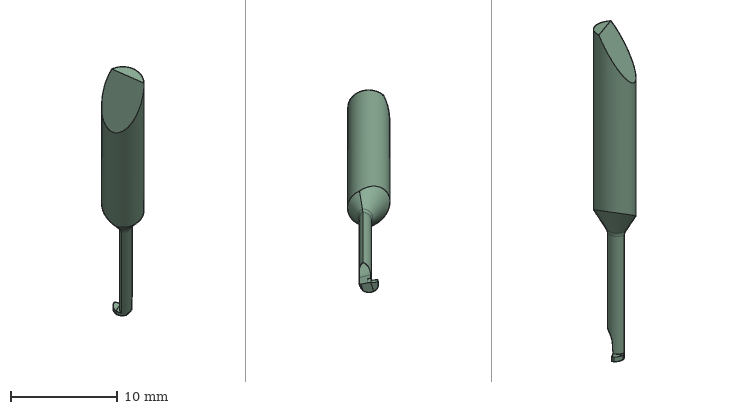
import cadquery as cq
import math

length = 34.0
shank_radius = 2.0
neck_radius = 0.92
neck_shift = 0.68
split_x = neck_shift - neck_radius

taper_angle = math.radians(30)
neck_top = 12.68
blend_radius = 0.85

clamp_angle = math.radians(30)
clamp_edge_y = 1.0

head_height = 0.5
flank_x = -0.9
bottom_tilt = math.radians(3)
corner_width = 0.2
corner_height = 0.25

flat_y = 0.17
flat_top = 1.45
runout_radius = 1.9
rake_angle = math.radians(10)
rake_top = 0.8

margin = 1.35


def turned_blank(axis_x, max_radius):
    """Neck, blend and taper revolved about a vertical axis at the given X."""
    blend_end_r = neck_radius + blend_radius * (1 - math.cos(taper_angle))
    blend_end_z = neck_top + blend_radius * math.sin(taper_angle)
    blend_mid_r = neck_radius + blend_radius * (1 - math.cos(taper_angle / 2))
    blend_mid_z = neck_top + blend_radius * math.sin(taper_angle / 2)
    taper_top = blend_end_z + (max_radius - blend_end_r) / math.tan(taper_angle)
    return (
        cq.Workplane("XZ")
        .lineTo(neck_radius, 0)
        .lineTo(neck_radius, neck_top)
        .threePointArc((blend_mid_r, blend_mid_z), (blend_end_r, blend_end_z))
        .lineTo(max_radius, taper_top)
        .lineTo(max_radius, length)
        .lineTo(0, length)
        .close()
        .revolve(360, (0, 0), (0, 1))
        .translate((axis_x, 0, 0))
    )


def clamp_cut():
    """Wedge that leaves the slanted clamping face on the -Y side."""
    outer_y = -shank_radius - margin
    drop = (clamp_edge_y - outer_y) / math.tan(clamp_angle)
    return (
        cq.Workplane("YZ")
        .moveTo(clamp_edge_y, length)
        .lineTo(outer_y, length)
        .lineTo(outer_y, length - drop)
        .close()
        .extrude(shank_radius, both=True)
    )


def chip_flat_cut():
    """Removes the +Y side of the neck above the edge, with a round run-out."""
    arc_y = flat_y + runout_radius
    diagonal = runout_radius * math.sqrt(0.5)
    return (
        cq.Workplane("YZ")
        .moveTo(flat_y, -margin)
        .lineTo(flat_y, flat_top)
        .threePointArc((arc_y - diagonal, flat_top + diagonal), (arc_y, flat_top + runout_radius))
        .lineTo(arc_y, -margin)
        .close()
        .extrude(shank_radius, both=True)
    )


def rake_cut():
    """Wedge that slopes the +Y face down to the cutting edge at Y = 0."""
    back_y = margin * math.tan(rake_angle)
    return (
        cq.Workplane("XY")
        .moveTo(flank_x - margin, -back_y)
        .lineTo(flank_x + 2 * margin, 2 * back_y)
        .lineTo(flank_x - margin, 2 * back_y)
        .close()
        .extrude(rake_top)
    )


def head_disc():
    """Round head with a flank, a slightly rising bottom and a bevelled +X corner."""
    corner_x = neck_radius - corner_width
    corner_z = (corner_x - flank_x) * math.tan(bottom_tilt)
    outline = (
        cq.Workplane("XZ")
        .moveTo(flank_x, 0)
        .lineTo(corner_x, corner_z)
        .lineTo(neck_radius, corner_z + corner_height)
        .lineTo(neck_radius, head_height)
        .lineTo(flank_x, head_height)
        .close()
        .extrude(neck_radius, both=True)
    )
    disc = cq.Workplane("XY").circle(neck_radius).extrude(head_height)
    return disc.intersect(outline).cut(chip_flat_cut()).cut(rake_cut())


def half_space_box(side):
    """Block on one side (+1 or -1) of the split plane, covering the head."""
    size = 2 * shank_radius
    return cq.Workplane("XY").box(size, size, size).translate((split_x + side * size / 2, 0, 0))


def make_holder():
    """Shank, taper, neck and the part of the head behind the tip."""
    reach = shank_radius + neck_shift + margin
    blank = turned_blank(0, shank_radius).intersect(turned_blank(neck_shift, reach))
    above_head = blank.cut(cq.Workplane("XY").circle(shank_radius).extrude(head_height))
    bar = above_head.cut(clamp_cut()).cut(chip_flat_cut()).cut(rake_cut())
    return bar.union(head_disc().intersect(half_space_box(1)))


def make_cutting_tip():
    """Tooth that projects from the thin edge of the neck toward -X."""
    return head_disc().intersect(half_space_box(-1))


holder = make_holder()
cutting_tip = make_cutting_tip()

result = cq.Compound.makeCompound([holder.solids().val(), cutting_tip.solids().val()])